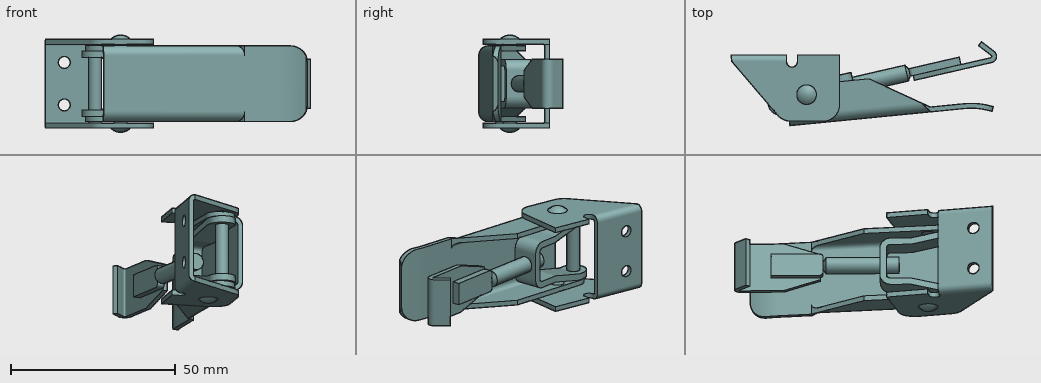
import cadquery as cq
import math


sheet = 1.5
pin_diameter = 4.0
handle_tilt = 5.6
hook_tilt = 13.0
through = 80.7

bracket_left = -15.25
bracket_right = 17.75
bracket_back = 14.4
bracket_front = -5.8
bracket_width = 27.05
bracket_bend_inner = 0.5
bracket_bend_outer = bracket_bend_inner + sheet
slant_angle = 49.5
slant_inset = 0.25
bracket_corner_radius = 5.0
notch_x = 3.3
notch_width = 3.2
notch_depth = 3.7
mount_hole_diameter = 3.55
mount_hole_x = bracket_left + 5.9
mount_hole_spacing = 12.9

rivet_x = 7.75
rivet_y = 2.3
rivet_diameter = 4.0
rivet_head_diameter = 6.0
rivet_head_height = 1.3

handle_width = 23.1
handle_side_half_height = 4.4
handle_eye_x = 1.5
handle_base_start = 1.9
handle_bend_inner = 1.45
handle_bend_outer = handle_bend_inner + sheet
handle_floor = -handle_side_half_height - handle_bend_outer
handle_shoulder_x = 27.3
handle_channel_end = 45.0
curl_start = 55.4
curl_radius = 20.2
curl_angle = 19.5
curl_tip_length = 1.5
grip_corner_radius = 5.25

yoke_thickness = 2.0
yoke_half_height = 4.0
yoke_arm_half_width = handle_width / 2 - sheet
yoke_neck_half_width = 7.4
yoke_taper_start = 1.85
yoke_taper_end = 13.3
yoke_end = 22.8
yoke_bend_inner = 1.3

rod_diameter = 5.0
rod_start = 16.95
rod_end = 39.15
tongue_start = 40.0
tongue_end = 55.85
tongue_width = 6.9
tongue_thickness = 2.35
tongue_front_radius = 1.05
hook_plate_start = 40.9
hook_taper_end = 52.0
hook_bend_start = 65.1
hook_width = 14.9
hook_front_width = 8.1
hook_bend_inner = 0.4
hook_turn = 129.5
hook_lip_length = 4.85

bracket_inner_half = bracket_width / 2 - sheet
handle_inner_half = handle_width / 2 - sheet


def tilted(body, angle):
    """Turn a body about the pin axis."""
    return body.rotate((0, 0, 0), (0, 0, 1), angle)


def z_cylinder(x, y, diameter, bottom, top):
    return cq.Workplane("XY", origin=(x, y, bottom)).circle(diameter / 2).extrude(top - bottom)


def z_prism(sketch, width):
    """Extrude an XY outline evenly to both sides of the middle plane."""
    return sketch.extrude(width / 2, both=True)


def polar(center, radius, degrees):
    angle = math.radians(degrees)
    return (center[0] + radius * math.cos(angle), center[1] + radius * math.sin(angle))


def make_bracket():
    slant_top_x = bracket_left + slant_inset
    slant_top_y = bracket_back - bracket_bend_outer
    slant_foot_x = slant_top_x + (slant_top_y - bracket_front) / math.tan(math.radians(slant_angle))
    outline = z_prism(
        cq.Workplane("XY").polyline([
            (bracket_left, bracket_back),
            (bracket_right, bracket_back),
            (bracket_right, bracket_front),
            (slant_foot_x, bracket_front),
            (slant_top_x, slant_top_y),
        ]).close(),
        bracket_width,
    )
    outline = outline.edges("|Z").edges("<Y").fillet(bracket_corner_radius)

    depth = bracket_back - bracket_front
    length = bracket_right - bracket_left
    mid_x = (bracket_left + bracket_right) / 2
    mid_y = (bracket_back + bracket_front) / 2
    bent_length = notch_x - bracket_left
    bent_x = (bracket_left + notch_x) / 2

    channel = cq.Workplane("XY").box(bent_length, depth, bracket_width)
    channel = channel.edges("|X and >Y").fillet(bracket_bend_outer)
    hollow = cq.Workplane("XY").box(bent_length, depth, 2 * bracket_inner_half)
    hollow = hollow.edges("|X and >Y").fillet(bracket_bend_inner)
    channel = channel.cut(hollow.translate((0, -sheet, 0))).translate((bent_x, mid_y, 0))

    plates = cq.Workplane("XY").box(length, depth, bracket_width)
    plates = plates.cut(cq.Workplane("XY").box(length, depth, 2 * bracket_inner_half))
    plates = plates.translate((mid_x, mid_y, 0))
    left_of_notch = cq.Workplane("XY").box(bent_length, through, through).translate((bent_x, 0, 0))
    body = plates.cut(left_of_notch).union(channel).intersect(outline)

    notch_bottom_y = bracket_back - notch_depth + notch_width / 2
    slot = cq.Workplane("XY").center(notch_x, notch_bottom_y + through / 2).rect(notch_width, through)
    body = body.cut(z_prism(slot, through))
    body = body.cut(z_cylinder(notch_x, notch_bottom_y, notch_width, -through, through))

    for side in (-1, 1):
        mount_hole = (
            cq.Workplane("XZ", origin=(mount_hole_x, bracket_back, side * mount_hole_spacing / 2))
            .circle(mount_hole_diameter / 2)
            .extrude(2 * sheet)
        )
        body = body.cut(mount_hole)
    return body.cut(z_cylinder(rivet_x, rivet_y, rivet_diameter, -through, through))


def make_rivet(side):
    """Domed rivet joining one bracket plate to the handle plate; side is +1 (top) or -1 (bottom)."""
    shank_radius = rivet_diameter / 2
    head_radius = rivet_head_diameter / 2
    face = bracket_width / 2
    dome_radius = (head_radius**2 + rivet_head_height**2) / (2 * rivet_head_height)
    dome_center = (0, face + rivet_head_height - dome_radius)
    edge_angle = math.degrees(math.acos(head_radius / dome_radius))
    rivet = (
        cq.Workplane("XZ")
        .moveTo(0, handle_inner_half)
        .lineTo(shank_radius, handle_inner_half)
        .lineTo(shank_radius, face)
        .lineTo(head_radius, face)
        .threePointArc(polar(dome_center, dome_radius, (90 + edge_angle) / 2), (0, face + rivet_head_height))
        .close()
        .revolve(360, (0, 0, 0), (0, 1, 0))
    )
    if side < 0:
        rivet = rivet.mirror("XY")
    return rivet.translate((rivet_x, rivet_y, 0))


def make_handle():
    floor_top = handle_floor + sheet
    pivot_end_x = handle_eye_x - handle_side_half_height

    channel_length = handle_channel_end - pivot_end_x
    channel_depth = 2 * handle_side_half_height + handle_bend_outer
    channel = cq.Workplane("XY").box(channel_length, channel_depth, handle_width)
    channel = channel.edges("|X and <Y").fillet(handle_bend_outer)
    hollow = cq.Workplane("XY").box(channel_length, channel_depth, 2 * handle_inner_half)
    hollow = hollow.edges("|X and <Y").fillet(handle_bend_inner)
    placing = (pivot_end_x + channel_length / 2, handle_floor + channel_depth / 2, 0)
    channel = channel.translate(placing)
    hollow = hollow.translate((0, sheet, 0)).translate(placing)

    trim = z_prism(
        cq.Workplane("XY")
        .moveTo(handle_eye_x, handle_side_half_height)
        .lineTo(handle_shoulder_x, handle_side_half_height)
        .lineTo(handle_channel_end, floor_top)
        .lineTo(handle_channel_end, handle_floor)
        .lineTo(handle_base_start, handle_floor)
        .lineTo(handle_base_start, -handle_side_half_height)
        .lineTo(handle_eye_x, -handle_side_half_height)
        .threePointArc((pivot_end_x, 0), (handle_eye_x, handle_side_half_height))
        .close(),
        through,
    )

    slope_run = (handle_channel_end - handle_shoulder_x) / (handle_side_half_height - floor_top)
    web_start_x = handle_shoulder_x + 2 * handle_side_half_height * slope_run
    web = z_prism(
        cq.Workplane("XY").polyline([
            (web_start_x, -handle_side_half_height),
            (handle_channel_end, floor_top),
            (handle_channel_end, handle_floor),
        ]).close(),
        handle_width,
    )
    bent_sheet = channel.intersect(trim).union(web).cut(hollow)

    outer_radius = curl_radius + sheet
    center = (curl_start, handle_floor - curl_radius)
    end_angle = 90 - curl_angle
    mid_angle = 90 - curl_angle / 2
    curl_top = polar(center, outer_radius, end_angle)
    curl_bottom = polar(center, curl_radius, end_angle)
    grip = z_prism(
        cq.Workplane("XY")
        .moveTo(handle_channel_end, floor_top)
        .lineTo(curl_start, floor_top)
        .threePointArc(polar(center, outer_radius, mid_angle), curl_top)
        .lineTo(*polar(curl_top, curl_tip_length, -curl_angle))
        .lineTo(*polar(curl_bottom, curl_tip_length, -curl_angle))
        .lineTo(*curl_bottom)
        .threePointArc(polar(center, curl_radius, mid_angle), (curl_start, handle_floor))
        .lineTo(handle_channel_end, handle_floor)
        .close(),
        handle_width,
    )
    tip_x = polar(curl_top, curl_tip_length, -curl_angle)[0]
    rounding_length = tip_x - handle_channel_end
    rounded = cq.Workplane("XZ").rect(2 * rounding_length, handle_width).extrude(through / 2, both=True)
    rounded = rounded.edges("|Y and >X").fillet(grip_corner_radius)
    grip = grip.intersect(rounded.translate((handle_channel_end, 0, 0)))

    body = tilted(bent_sheet.union(grip), handle_tilt)
    body = body.cut(z_cylinder(0, 0, pin_diameter, -through, through))
    return body.cut(z_cylinder(rivet_x, rivet_y, rivet_diameter, -through, through))


def make_pin():
    return z_cylinder(0, 0, pin_diameter, -bracket_inner_half, bracket_inner_half)


def yoke_block(inset):
    """Solid filling the yoke's plan outline, moved inward by the given amount."""
    arm = yoke_arm_half_width - inset
    neck = yoke_neck_half_width - inset
    end = yoke_end - inset
    bend_radius = yoke_bend_inner + yoke_thickness - inset
    points = [
        (-yoke_half_height, arm),
        (yoke_taper_start, arm),
        (yoke_taper_end, neck),
        (end, neck),
        (end, -neck),
        (yoke_taper_end, -neck),
        (yoke_taper_start, -arm),
        (-yoke_half_height, -arm),
    ]
    block = cq.Workplane("XZ").polyline(points).close().extrude(yoke_half_height, both=True)
    return block.edges("|Y and >X").fillet(bend_radius)


def make_yoke():
    """Strap bent into a U, with a round eye at the end of each arm."""
    strap = yoke_block(0).cut(yoke_block(yoke_thickness))
    side_outline = z_prism(
        cq.Workplane("XY").center(yoke_end / 2, 0).rect(yoke_end, 2 * yoke_half_height), through
    ).union(z_cylinder(0, 0, 2 * yoke_half_height, -through / 2, through / 2))
    body = strap.intersect(side_outline)
    body = body.cut(z_cylinder(0, 0, pin_diameter, -through, through))
    rod_hole = cq.Workplane("YZ", origin=(rod_start, 0, 0)).circle(rod_diameter / 2).extrude(through)
    return tilted(body.cut(rod_hole), hook_tilt)


def make_hook():
    """Rod with a coned end and flat tongue, carrying the hooked catch plate."""
    tongue_half = tongue_thickness / 2
    rod = (
        cq.Workplane("XY")
        .polyline([
            (rod_start, 0),
            (rod_start, rod_diameter / 2),
            (rod_end, rod_diameter / 2),
            (tongue_start, tongue_half),
            (tongue_start, 0),
        ])
        .close()
        .revolve(360, (0, 0, 0), (1, 0, 0))
    )
    tongue_length = tongue_end - tongue_start
    tongue = cq.Workplane("XY").box(tongue_length, tongue_thickness, tongue_width)
    tongue = tongue.edges("|Y and <X").fillet(tongue_front_radius)
    tongue = tongue.translate((tongue_start + tongue_length / 2, 0, 0))

    plate_top = -tongue_half
    plate_bottom = plate_top - sheet
    center = (hook_bend_start, plate_top + hook_bend_inner)
    outer_radius = hook_bend_inner + sheet
    end_angle = hook_turn - 90
    mid_angle = hook_turn / 2 - 90
    lip_outer = polar(center, outer_radius, end_angle)
    lip_inner = polar(center, hook_bend_inner, end_angle)
    plate = z_prism(
        cq.Workplane("XY")
        .moveTo(hook_plate_start, plate_bottom)
        .lineTo(hook_bend_start, plate_bottom)
        .threePointArc(polar(center, outer_radius, mid_angle), lip_outer)
        .lineTo(*polar(lip_outer, hook_lip_length, hook_turn))
        .lineTo(*polar(lip_inner, hook_lip_length, hook_turn))
        .lineTo(*lip_inner)
        .threePointArc(polar(center, hook_bend_inner, mid_angle), (hook_bend_start, plate_top))
        .lineTo(hook_plate_start, plate_top)
        .close(),
        hook_width,
    )
    plan = (
        cq.Workplane("XZ")
        .polyline([
            (hook_plate_start, hook_front_width / 2),
            (hook_taper_end, hook_width / 2),
            (through, hook_width / 2),
            (through, -hook_width / 2),
            (hook_taper_end, -hook_width / 2),
            (hook_plate_start, -hook_front_width / 2),
        ])
        .close()
        .extrude(through / 2, both=True)
    )
    return tilted(rod.union(tongue).union(plate.intersect(plan)), hook_tilt)


bracket = make_bracket()
handle = make_handle()
pin = make_pin()
yoke = make_yoke()
hook = make_hook()
rivets = [make_rivet(side) for side in (1, -1)]

result = cq.Compound.makeCompound([
    bracket.solids().val(),
    handle.solids().val(),
    pin.solids().val(),
    yoke.solids().val(),
    hook.solids().val(),
    *[rivet.solids().val() for rivet in rivets],
])